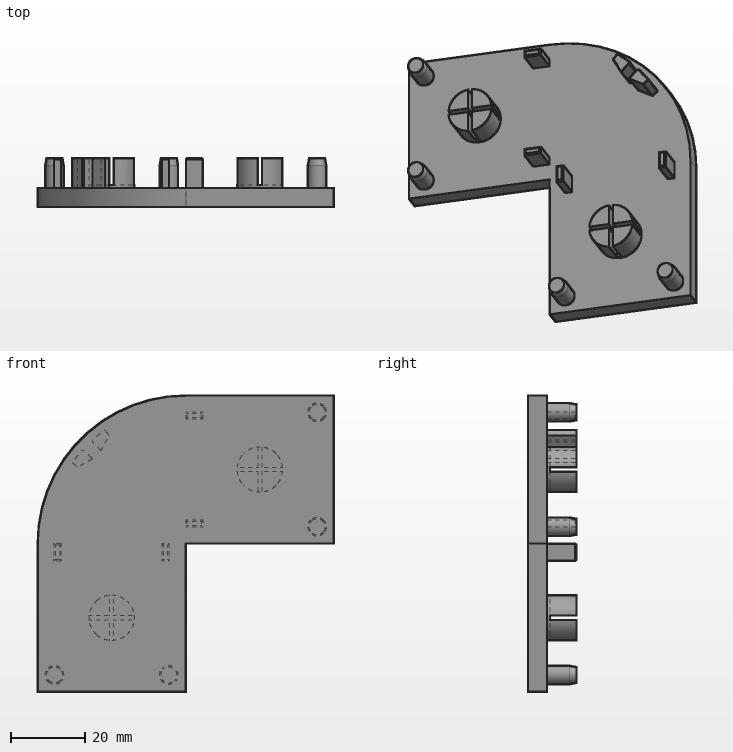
import cadquery as cq
import math

span = 80.0
arm_width = span / 2
plate_thickness = 5.2
post_height = 8.0
total_depth = plate_thickness + post_height

boss_diameter = 12.2
boss_slot_width = 1.1
boss_slot_floor = 0.8

pin_inset = 4.6
pin_diameter = 5.0
pin_tip_diameter = 4.3
pin_tip_length = 2.0

tab_length = 4.6
tab_thickness = 1.9
tab_inset = 4.5
tab_chamfer = 0.4

bend_tab_reach = 37.6
bend_tab_gap = 3.2
bend_tab_width = 4.6
bend_tab_depth = 3.6
bend_tab_slope = math.radians(6)
bend_tab_chamfer = 0.4
diagonal_turn = -45


def plane_at(y):
    """XZ plane at depth y, with its local axes along +X and +Z and its normal along -Y."""
    return cq.Workplane("XZ", origin=(0, y, 0))


def make_plate():
    bend_inset = arm_width * (1 - math.sqrt(0.5))
    return (
        plane_at(0)
        .lineTo(0, arm_width)
        .threePointArc((bend_inset, span - bend_inset), (arm_width, span))
        .lineTo(span, span)
        .lineTo(span, arm_width)
        .lineTo(arm_width, arm_width)
        .lineTo(arm_width, 0)
        .close()
        .extrude(-plate_thickness)
    )


def make_boss(x, z):
    boss = plane_at(plate_thickness).center(x, z).circle(boss_diameter / 2).extrude(-post_height)
    slot_depth = post_height - boss_slot_floor
    for turn in (0, 90):
        slot = plane_at(total_depth).rect(boss_slot_width, boss_diameter).extrude(slot_depth)
        boss = boss.cut(slot.rotate((0, 0, 0), (0, 1, 0), turn).translate((x, 0, z)))
    return boss


def make_pin(x, z):
    tip_start = post_height - pin_tip_length
    pin = (
        cq.Workplane("XY")
        .lineTo(pin_diameter / 2, 0)
        .lineTo(pin_diameter / 2, tip_start)
        .lineTo(pin_tip_diameter / 2, post_height)
        .lineTo(0, post_height)
        .close()
        .revolve(360, (0, 0, 0), (0, 1, 0))
    )
    return pin.translate((x, plate_thickness, z))


def make_arm_tab(x, z, length_x, length_z):
    tab = plane_at(plate_thickness).center(x, z).rect(length_x, length_z).extrude(-post_height)
    return tab.faces(">Y").chamfer(tab_chamfer)


def make_bend_tabs():
    """Both wedge tabs, drawn with the elbow diagonal along local Z and then turned onto it."""
    gap_side = bend_tab_gap / 2
    far_side = gap_side + bend_tab_width
    chamfer_end = gap_side + bend_tab_chamfer
    far_reach = bend_tab_reach - (far_side - chamfer_end) * math.tan(bend_tab_slope)
    tab = (
        plane_at(plate_thickness)
        .moveTo(gap_side, bend_tab_reach - bend_tab_chamfer)
        .lineTo(chamfer_end, bend_tab_reach)
        .lineTo(far_side, far_reach)
        .lineTo(
            far_side - tab_thickness * math.sin(bend_tab_slope),
            far_reach - tab_thickness * math.cos(bend_tab_slope),
        )
        .lineTo(gap_side, bend_tab_reach - bend_tab_depth)
        .close()
        .extrude(-post_height)
    )
    pair = tab.union(tab.mirror("YZ"))
    pair = pair.rotate((0, 0, 0), (0, 1, 0), diagonal_turn)
    return pair.translate((arm_width, 0, arm_width))


result = make_plate()

boss_inset = arm_width / 2
result = result.union(make_boss(boss_inset, boss_inset))
result = result.union(make_boss(span - boss_inset, span - boss_inset))

for offset in (pin_inset, arm_width - pin_inset):
    result = result.union(make_pin(offset, pin_inset))
    result = result.union(make_pin(span - pin_inset, span - offset))

tab_along = arm_width + tab_length / 2
tab_across = tab_inset + tab_thickness / 2
for offset in (tab_across, arm_width - tab_across):
    result = result.union(make_arm_tab(tab_along, span - offset, tab_length, tab_thickness))
    result = result.union(make_arm_tab(offset, span - tab_along, tab_thickness, tab_length))

result = result.union(make_bend_tabs())